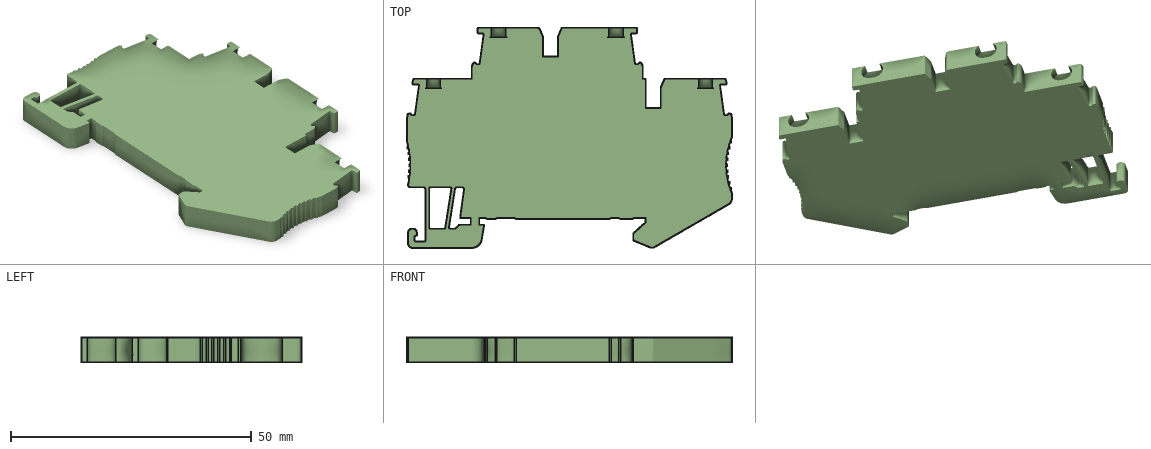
import cadquery as cq
import math


LENGTH = 67.6
HEIGHT = 45.8
THICKNESS = 5.2

LOWER_TOP = 35.2
UPPER_LEFT = 13.45
UPPER_RIGHT = 49.1

LIP_THICKNESS = 1.2
LIP_ROUND = 0.3
LOWER_TIP_TOP_INSET = 1.35
LOWER_TIP_INSET = 1.0
UPPER_TIP_INSET = 1.2
FLANK_TOP_INSET = 2.5
FLANK_BOTTOM_INSET = 1.6
TROUGH_INSET = 1.1
TROUGH_DEPTH = 7.6
RIDGE_INSET = 0.6
RIDGE_DEPTH = 7.15
LOWER_SHOULDER_INSET = 0.15
LOWER_SHOULDER_DEPTH = 7.4
LOWER_SHOULDER_TAPER_DEPTH = 8.25
UPPER_SHOULDER_DEPTH = 7.65
UPPER_SHOULDER_ROUND = 1.35

NOTCH_WIDTH = 3.05
FLARE_RUN = 0.8
FLARE_DEPTH = 1.9
UPPER_NOTCH_LEFT = 28.3
UPPER_NOTCH_DEPTH = 5.95
LOWER_NOTCH_LEFT = 49.7
LOWER_NOTCH_DEPTH = 6.1
NOTCH_ROUND_LARGE = 0.7
NOTCH_ROUND_SMALL = 0.3

POCKET_LENGTH = 2.0
POCKET_RADIUS = 2.0
POCKET_AXIS_DEPTH = 1.6
LOWER_POCKET_WIDTH = 2.85
UPPER_POCKET_WIDTH = 3.05
LOWER_POCKET_INSET = 5.55
UPPER_POCKET_INSET = 5.6

GRIP_CENTER_Y = 17.25
LEFT_GRIP_DEPTH = 0.7
LEFT_GRIP_HALF_HEIGHT = 4.9
LEFT_RIBS_BELOW = 2
LEFT_RIBS_ABOVE = 3
RIGHT_GRIP_DEPTH = 1.2
RIGHT_GRIP_HALF_HEIGHT = 5.8
RIGHT_RIBS_BELOW = 4
RIGHT_RIBS_ABOVE = 4
RIB_PITCH = 1.2
RIB_HEIGHT = 0.4
RIB_PROTRUSION = 0.235
RIB_ROOT = 0.55

BODY_BOTTOM = 6.2
PAD_DROP = 0.2
PAD_END_RUN = 0.4
PADS = [(16.3, 18.7), (22.3, 42.45), (44.0, 47.25)]

FOOT_LEFT = 0.2
ARM_TOP = 12.65
ARM_LEFT = 3.85
ARM_WIDTH = 0.8
FOOT_TOP = 4.05
HEEL_TOP = 4.9
HOOK_FLOOR = 1.4
HOOK_STEM_RIGHT = 1.6
HOOK_HEAD_RIGHT = 2.1
HOOK_HEAD_BOTTOM = 2.65
HOOK_STEM_TOP = 2.4
HOOK_HEAD_RADIUS = 0.9
FOOT_CORNER_ROUND = 1.0
ARM_ROUND = 0.55
TOE_RIGHT = 16.1
TOE_BOTTOM_RIGHT = 15.3
TOE_RADIUS = 2.15
NECK_LEFT = 13.25
NECK_RIGHT = 15.1
SMALL_ROUND = 0.2

WINDOW_TOP_RIGHT = 9.25
WINDOW_BOTTOM_RIGHT = 7.9
SLOT_TOP_RIGHT = 11.9
SLOT_KNEE_X = 11.0
SLOT_RAMP_TOP = 10.9
SLOT_RAMP_BOTTOM = 10.1
SLOT_ROUND = 0.4

LATCH_ROOT_X = 49.55
LATCH_ROOT_BOTTOM = 5.3
LATCH_THROAT = (48.95, 4.8)
LATCH_NOSE_X = 47.05
LATCH_NOSE_TOP = 3.05
LATCH_NOSE_BOTTOM = 1.55
LATCH_NOSE_ROUND = 0.4
LATCH_TIP = (51.05, -0.1)
LATCH_TIP_RADIUS = 0.8
LATCH_SLOPE = math.radians(30)
LATCH_CORNER_RADIUS = 1.5


def rounded_prism(corners):
    """Extrude a closed outline given as (x, y, corner radius) through the thickness."""
    outline = None
    for i, (x, y, radius) in enumerate(corners):
        corner = cq.Vector(x, y)
        before = cq.Vector(*corners[i - 1][:2]) - corner
        after = cq.Vector(*corners[(i + 1) % len(corners)][:2]) - corner
        half_angle = before.getAngle(after) / 2
        setback = radius / math.tan(half_angle)
        start = corner + before.normalized() * setback
        if outline is None:
            outline = cq.Workplane("XY").moveTo(start.x, start.y)
        else:
            outline = outline.lineTo(start.x, start.y)
        if radius > 0:
            end = corner + after.normalized() * setback
            bisector = (before.normalized() + after.normalized()).normalized()
            middle = corner + bisector * (radius / math.sin(half_angle) - radius)
            outline = outline.threePointArc((middle.x, middle.y), (end.x, end.y))
    return outline.close().extrude(THICKNESS)


def lip(end_x, inward, top, shoulder, tip_inset, tip_top_inset):
    """Corners of one level end, from its outer wall up to its top; inward is +1 or -1 along X."""
    profile = shoulder + [
        (RIDGE_INSET, RIDGE_DEPTH, 0),
        (TROUGH_INSET, TROUGH_DEPTH, 0),
        (FLANK_BOTTOM_INSET, TROUGH_DEPTH, SMALL_ROUND),
        (FLANK_TOP_INSET, LIP_THICKNESS, SMALL_ROUND),
        (tip_inset, LIP_THICKNESS, LIP_ROUND),
        (tip_top_inset, 0, LIP_ROUND),
    ]
    return [(end_x + inward * inset, top - depth, radius) for inset, depth, radius in profile]


def lower_lip(end_x, inward):
    """A lower level end, whose shoulder tapers in slightly."""
    shoulder = [
        (0, LOWER_SHOULDER_TAPER_DEPTH, 0),
        (LOWER_SHOULDER_INSET, LOWER_SHOULDER_DEPTH, 0),
    ]
    return lip(end_x, inward, LOWER_TOP, shoulder, LOWER_TIP_INSET, LOWER_TIP_TOP_INSET)


def upper_lip(end_x, inward):
    """An upper level end, whose shoulder is rounded."""
    shoulder = [(0, UPPER_SHOULDER_DEPTH, UPPER_SHOULDER_ROUND)]
    return lip(end_x, inward, HEIGHT, shoulder, UPPER_TIP_INSET, UPPER_TIP_INSET)


def notch_right_wall(left, top, depth):
    """Corners of a notch from the right end of its floor up to its flared mouth."""
    wall = left + NOTCH_WIDTH
    return [
        (wall, top - depth, 0),
        (wall, top - FLARE_DEPTH, 0),
        (wall + FLARE_RUN, top, NOTCH_ROUND_SMALL),
    ]


def upper_notch():
    return [
        (UPPER_NOTCH_LEFT - FLARE_RUN, HEIGHT, NOTCH_ROUND_LARGE),
        (UPPER_NOTCH_LEFT, HEIGHT - FLARE_DEPTH, 0),
        (UPPER_NOTCH_LEFT, HEIGHT - UPPER_NOTCH_DEPTH, 0),
    ] + notch_right_wall(UPPER_NOTCH_LEFT, HEIGHT, UPPER_NOTCH_DEPTH)


def lower_notch():
    return [
        (UPPER_RIGHT, LOWER_TOP, 0),
        (LOWER_NOTCH_LEFT, LOWER_TOP, NOTCH_ROUND_SMALL),
        (LOWER_NOTCH_LEFT, LOWER_TOP - LOWER_NOTCH_DEPTH, 0),
    ] + notch_right_wall(LOWER_NOTCH_LEFT, LOWER_TOP, LOWER_NOTCH_DEPTH)


def latch():
    """Corners of the rigid latch, from the right end of the body to its underside."""
    tip_x, tip_y = LATCH_TIP
    slope_top = tip_y + (LENGTH - tip_x) * math.tan(LATCH_SLOPE)
    return [
        (LENGTH, slope_top, LATCH_CORNER_RADIUS),
        (tip_x, tip_y, LATCH_TIP_RADIUS),
        (LATCH_NOSE_X, LATCH_NOSE_BOTTOM, LATCH_NOSE_ROUND),
        (LATCH_NOSE_X, LATCH_NOSE_TOP, 0),
        (*LATCH_THROAT, 0),
        (LATCH_ROOT_X, LATCH_ROOT_BOTTOM, 0),
        (LATCH_ROOT_X, BODY_BOTTOM, 0),
    ]


def spring_foot():
    """Corners of the spring foot, from the neck around the toe and hook to the left end of the body."""
    return [
        (NECK_RIGHT, BODY_BOTTOM, 0),
        (NECK_RIGHT, HEEL_TOP, 0),
        (TOE_RIGHT, HEEL_TOP, SMALL_ROUND),
        (TOE_BOTTOM_RIGHT, 0, TOE_RADIUS),
        (FOOT_LEFT, 0, FOOT_CORNER_ROUND),
        (FOOT_LEFT, FOOT_TOP, HOOK_HEAD_RADIUS),
        (HOOK_HEAD_RIGHT, FOOT_TOP, HOOK_HEAD_RADIUS),
        (HOOK_HEAD_RIGHT, HOOK_HEAD_BOTTOM, 0),
        (HOOK_STEM_RIGHT, HOOK_STEM_TOP, 0),
        (HOOK_STEM_RIGHT, HOOK_FLOOR, SMALL_ROUND),
        (ARM_LEFT, HOOK_FLOOR, SMALL_ROUND),
        (ARM_LEFT, ARM_TOP, ARM_ROUND),
        (FOOT_LEFT, ARM_TOP, ARM_ROUND),
        (FOOT_LEFT, GRIP_CENTER_Y, 0),
        (0, GRIP_CENTER_Y, 0),
    ]


def body():
    corners = lower_lip(0, 1)
    corners += [(UPPER_LEFT, LOWER_TOP, 0)]
    corners += upper_lip(UPPER_LEFT, 1)
    corners += upper_notch()
    corners += reversed(upper_lip(UPPER_RIGHT, -1))
    corners += lower_notch()
    corners += reversed(lower_lip(LENGTH, -1))
    corners += latch()
    corners += spring_foot()
    return rounded_prism(corners)


def foot_openings():
    """The window beside the straight arm and the slot beyond the leaning arm."""
    window_left = ARM_LEFT + ARM_WIDTH
    window = [
        (window_left, ARM_TOP, SMALL_ROUND),
        (WINDOW_TOP_RIGHT, ARM_TOP, SMALL_ROUND),
        (WINDOW_BOTTOM_RIGHT, FOOT_TOP, SMALL_ROUND),
        (window_left, FOOT_TOP, SMALL_ROUND),
    ]
    slot = [
        (WINDOW_TOP_RIGHT + ARM_WIDTH, ARM_TOP, SLOT_ROUND),
        (SLOT_TOP_RIGHT, ARM_TOP, SLOT_ROUND),
        (SLOT_KNEE_X, BODY_BOTTOM, SMALL_ROUND),
        (NECK_LEFT, BODY_BOTTOM, 0),
        (NECK_LEFT, HEEL_TOP, 0),
        (SLOT_RAMP_TOP, HEEL_TOP, SMALL_ROUND),
        (SLOT_RAMP_BOTTOM, FOOT_TOP, SMALL_ROUND),
        (WINDOW_BOTTOM_RIGHT + ARM_WIDTH, FOOT_TOP, SMALL_ROUND),
    ]
    return rounded_prism(window).union(rounded_prism(slot))


def pads():
    """Low tapered pads under the body."""
    shape = cq.Workplane("XY")
    for left, right in PADS:
        corners = [
            (left, BODY_BOTTOM, 0),
            (left + PAD_END_RUN, BODY_BOTTOM - PAD_DROP, 0),
            (right - PAD_END_RUN, BODY_BOTTOM - PAD_DROP, 0),
            (right, BODY_BOTTOM, 0),
        ]
        shape = shape.union(rounded_prism(corners))
    return shape


def with_grip(shape, end_x, inward, depth, half_height, ribs_below, ribs_above):
    """Hollow one end with a shallow arc, then set evenly spaced ribs along the hollow."""
    radius = (half_height**2 + depth**2) / (2 * depth)
    center_x = end_x + inward * (depth - radius)
    hollow = cq.Workplane("XY").center(center_x, GRIP_CENTER_Y).circle(radius).extrude(THICKNESS)
    shape = shape.cut(hollow)
    for i in range(-ribs_below, ribs_above + 1):
        offset = i * RIB_PITCH
        surface_x = center_x + inward * math.sqrt(radius**2 - offset**2)
        rib_x = surface_x + inward * (RIB_ROOT - RIB_PROTRUSION) / 2
        rib = (
            cq.Workplane("XY")
            .center(rib_x, GRIP_CENTER_Y + offset)
            .rect(RIB_ROOT + RIB_PROTRUSION, RIB_HEIGHT)
            .extrude(THICKNESS)
        )
        shape = shape.union(rib)
    return shape


def pocket(center_x, top, mouth_width):
    """A round-sided pocket sunk from the level's edge, breaking out through the +Z face."""
    half_mouth_to_axis = math.sqrt(POCKET_RADIUS**2 - POCKET_AXIS_DEPTH**2)
    flat_width = mouth_width - 2 * half_mouth_to_axis
    return (
        cq.Workplane("XZ", origin=(center_x, top, THICKNESS - POCKET_AXIS_DEPTH))
        .slot2D(flat_width + 2 * POCKET_RADIUS, 2 * POCKET_RADIUS)
        .extrude(POCKET_LENGTH)
    )


def pockets():
    shape = cq.Workplane("XY")
    for center_x in (LOWER_POCKET_INSET, LENGTH - LOWER_POCKET_INSET):
        shape = shape.union(pocket(center_x, LOWER_TOP, LOWER_POCKET_WIDTH))
    for center_x in (UPPER_LEFT + UPPER_POCKET_INSET, UPPER_RIGHT - UPPER_POCKET_INSET):
        shape = shape.union(pocket(center_x, HEIGHT, UPPER_POCKET_WIDTH))
    return shape


part = body().cut(foot_openings()).union(pads())
part = with_grip(
    part, 0, 1, LEFT_GRIP_DEPTH, LEFT_GRIP_HALF_HEIGHT, LEFT_RIBS_BELOW, LEFT_RIBS_ABOVE
)
part = with_grip(
    part, LENGTH, -1, RIGHT_GRIP_DEPTH, RIGHT_GRIP_HALF_HEIGHT, RIGHT_RIBS_BELOW, RIGHT_RIBS_ABOVE
)
result = part.cut(pockets())